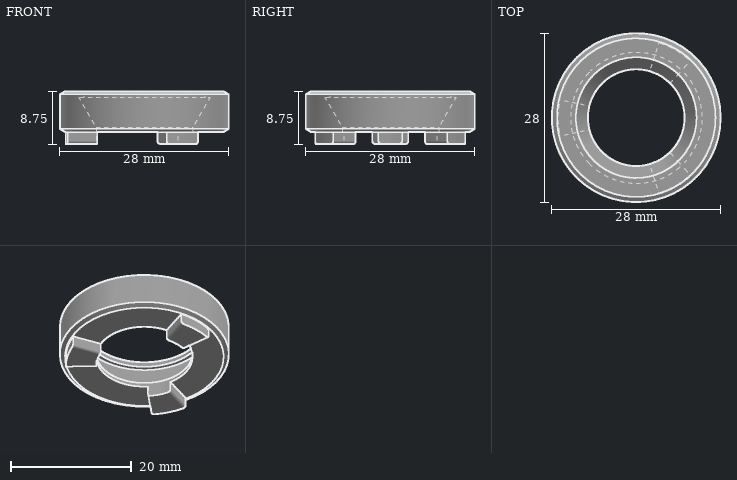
import cadquery as cq
import math

outer_radius = 14.0
body_height = 6.75
edge_bevel_width = 0.87
edge_bevel_height = 0.5

mouth_radius = 10.0
mouth_depth = 0.98
throat_diameter = 16.0
throat_radius = throat_diameter / 2
throat_height = 0.78
flare_angle = 30.0

foot_count = 3
foot_height = 2.0
foot_outer_radius = 13.0
foot_outer_half_width = 3.0
foot_side_angle = 12.0
foot_edge_fillet = 0.5
foot_overlap = 0.28
foot_trim = 0.85
first_foot_angle = 180.0


def make_body():
    """Revolve the half section of the ring, bore included."""
    bevel_radius = outer_radius - edge_bevel_width
    flare_top = body_height - mouth_depth
    flare_rise = flare_top - throat_height
    flare_top_radius = throat_radius + flare_rise * math.tan(math.radians(flare_angle))
    return (
        cq.Workplane("XZ")
        .moveTo(throat_radius, 0)
        .lineTo(bevel_radius, 0)
        .lineTo(outer_radius, edge_bevel_height)
        .lineTo(outer_radius, body_height - edge_bevel_height)
        .lineTo(bevel_radius, body_height)
        .lineTo(mouth_radius, body_height)
        .lineTo(mouth_radius, flare_top)
        .lineTo(flare_top_radius, flare_top)
        .lineTo(throat_radius, throat_height)
        .close()
        .revolve(360, (0, 0, 0), (0, 1, 0))
    )


def make_foot():
    """Make one foot blank centred on the +X axis, reaching slightly into the bore."""
    outer_corner_x = math.sqrt(foot_outer_radius**2 - foot_outer_half_width**2)
    inner_x = throat_radius - foot_trim
    taper = (outer_corner_x - inner_x) * math.tan(math.radians(foot_side_angle))
    inner_half_width = foot_outer_half_width - taper
    return (
        cq.Workplane("XY", origin=(0, 0, -foot_height))
        .moveTo(inner_x, -inner_half_width)
        .lineTo(outer_corner_x, -foot_outer_half_width)
        .threePointArc((foot_outer_radius, 0), (outer_corner_x, foot_outer_half_width))
        .lineTo(inner_x, inner_half_width)
        .close()
        .extrude(foot_height + foot_overlap)
        .faces("<Z")
        .edges("%LINE and (not |Y)")
        .fillet(foot_edge_fillet)
    )


result = make_body()
foot = make_foot()
for index in range(foot_count):
    angle = first_foot_angle + index * 360 / foot_count
    result = result.union(foot.rotate((0, 0, 0), (0, 0, 1), angle))

throat = cq.Workplane("XY", origin=(0, 0, -foot_height)).circle(throat_radius)
result = result.cut(throat.extrude(foot_height + throat_height))